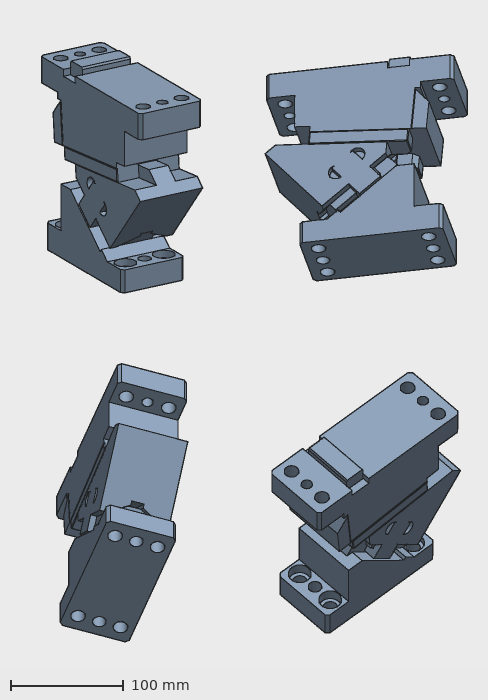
import cadquery as cq
import math


WIDTH = 65.0
HALF_WIDTH = WIDTH / 2
CORNER_CHAMFER = 3.0
EDGE_CHAMFER = 0.85
HOLE_INSET = 15.0
SCREW_SPACING = 40.0
SCREW_DIA = 13.0

TOTAL_HEIGHT = 187.5
PLATE_LENGTH = 170.0
PLATE_THICKNESS = 25.0
PLATE_TOP = 180.5
PLATE_BOTTOM = PLATE_TOP - PLATE_THICKNESS
HOLDER_DOWEL_DIA = 10.0
KEY_START = 40.0
KEY_LENGTH = 20.0
KEY_WIDTH = 50.0
KEY_SLOT_DEPTH = 6.5
KEY_BEVEL_HEIGHT = 2.0
KEY_BEVEL_RUN = 1.1
NECK_START = 30.0
NECK_END = 144.0

TILT = 5.0
TILT_X = 38.6
TILT_Z = 107.6
UNDERSIDE_LENGTH = 92.2
UNDERSIDE_STEP = 5.6
STOP_THICKNESS = 14.0
STOP_HEIGHT = 41.6
STOP_GAP = 0.8

BAR_START = 1.9
BAR_DEPTH = 12.8
BAR_INNER = 10.0
BAR_LEAD_IN = 5.0

SLOPE = 40.0
SLOPE_X = 52.0
SLOPE_Z = 70.1

BASE_START = 10.0
BASE_LENGTH = 130.0
BASE_END = BASE_START + BASE_LENGTH
BASE_LEFT_TOP = 25.7
BASE_RIGHT_TOP = 22.0
BLOCK_START = 35.6
BASE_DOWEL_DIA = 12.0
COUNTERBORE_DIA = 20.0
COUNTERBORE_FLOOR = 14.8

RIDGE_START = -4.9
RIDGE_END = 65.8
RIDGE_NECK = 19.5
RIDGE_HEAD = 26.0
RIDGE_FLAT = 5.8
HEAD_START = 13.5
HEAD_UNDERSIDE = 9.0
ROOF_EAVES = 17.2
ROOF_ANGLE = 30.0
GROOVE_TOP = 32.8
RIDGE_ROOT = -5.6
RIDGE_BEVEL_START = 17.8
RIDGE_BEVEL_ANGLE = 25.0
SLOPE_STEP = 3.4

SLIDE_START = 20.6
SLIDE_END = 73.3
SLIDE_TOP = 97.5
RIB_CLEARANCE = 1.0
RETURN_START = 16.7
RETURN_WIDTH = 25.0
RETURN_END = RETURN_START + RETURN_WIDTH
RETURN_BOTTOM = 2.0
RETURN_TOP = 41.5
RETURN_INNER = 26.6
HOOK_INNER = 20.0
RELIEF_RADIUS = 7.0
RELIEF_LEVEL = 35.0
RELIEF_DEPTH = HALF_WIDTH - RETURN_INNER


def tilted(along, up):
    """XZ point from coordinates in the tilted frame."""
    angle = math.radians(TILT)
    return (TILT_X + along * math.cos(angle) - up * math.sin(angle),
            TILT_Z + along * math.sin(angle) + up * math.cos(angle))


def sloped(down, out):
    """XZ point from distances down the slope and square out of it."""
    angle = math.radians(SLOPE)
    return (SLOPE_X + down * math.cos(angle) + out * math.sin(angle),
            SLOPE_Z - down * math.sin(angle) + out * math.cos(angle))


def line_crossing(a, b, c, d):
    """Point where the line a-b meets the line c-d."""
    ab = (b[0] - a[0], b[1] - a[1])
    cd = (d[0] - c[0], d[1] - c[1])
    share = ((c[0] - a[0]) * cd[1] - (c[1] - a[1]) * cd[0]) / (ab[0] * cd[1] - ab[1] * cd[0])
    return (a[0] + share * ab[0], a[1] + share * ab[1])


def at_height(a, b, z):
    """Point of the line a-b at height Z."""
    return line_crossing(a, b, (0, z), (1, z))


def at_station(a, b, x):
    """Point of the line a-b at position X."""
    return line_crossing(a, b, (x, 0), (x, 1))


def slab(points, y_from, y_to):
    """XZ outline extruded between two Y positions."""
    return cq.Workplane("XZ", origin=(0, y_from, 0)).polyline(points).close().extrude(y_from - y_to)


def symmetric_slab(points, half_width=HALF_WIDTH):
    """XZ outline extruded equally to both sides of the middle plane."""
    return slab(points, -half_width, half_width)


def along_slope(section, start, end):
    """Section of (across, out) points swept down the slope."""
    x, z = sloped(start, 0)
    angle = math.radians(SLOPE)
    plane = cq.Plane(
        origin=(x, 0, z), xDir=(0, 1, 0), normal=(math.cos(angle), 0, -math.sin(angle))
    )
    return cq.Workplane(plane).polyline(section).close().extrude(end - start)


def mirrored_pair(body):
    """Body and its mirror image across the middle plane."""
    return body.union(body.mirror("XZ"))


def hole_circles(x, top, diameter, spacing=0.0):
    """Circles for upright holes, one in the middle or a pair across the width."""
    places = [(x, -spacing / 2), (x, spacing / 2)] if spacing else [(x, 0)]
    return cq.Workplane("XY").workplane(offset=top).pushPoints(places).circle(diameter / 2)


def full_width_box(start, length, bottom, top):
    """Upright box over the full width."""
    box = cq.Workplane("XY").box(length, WIDTH, top - bottom, centered=(False, True, False))
    return box.translate((start, 0, bottom))


def chamfered_plate(start, length, bottom, top):
    """Plate with its four upright corners chamfered."""
    return full_width_box(start, length, bottom, top).edges("|Z").chamfer(CORNER_CHAMFER)


def roof_height(across):
    """Height of the roof flank above the slope at a distance from the middle plane."""
    return ROOF_EAVES + (RIDGE_HEAD - across) * math.tan(math.radians(ROOF_ANGLE))


ROOF_TOP = roof_height(RIDGE_FLAT)


def holder_body():
    """Body that hangs below the plate, with the plate."""
    shoulder = (tilted(0, STOP_HEIGHT + STOP_GAP), tilted(1.9, STOP_HEIGHT + STOP_GAP))
    rear_step = (tilted(0, UNDERSIDE_STEP), tilted(1.9, UNDERSIDE_STEP))
    outline = [
        (NECK_START, PLATE_BOTTOM),
        at_station(*shoulder, NECK_START),
        shoulder[0],
        tilted(0, 0),
        tilted(UNDERSIDE_LENGTH, 0),
        tilted(UNDERSIDE_LENGTH, UNDERSIDE_STEP),
        at_station(*rear_step, NECK_END),
        (NECK_END, PLATE_BOTTOM),
    ]
    return symmetric_slab(outline).union(chamfered_plate(0, PLATE_LENGTH, PLATE_BOTTOM, PLATE_TOP))


def holder_key():
    """Key along the slot, bevelled on its two long top edges."""
    floor = PLATE_TOP - KEY_SLOT_DEPTH
    end = KEY_START + KEY_LENGTH
    outline = [
        (KEY_START, floor),
        (end, floor),
        (end, TOTAL_HEIGHT - KEY_BEVEL_HEIGHT),
        (end - KEY_BEVEL_RUN, TOTAL_HEIGHT),
        (KEY_START + KEY_BEVEL_RUN, TOTAL_HEIGHT),
        (KEY_START, TOTAL_HEIGHT - KEY_BEVEL_HEIGHT),
    ]
    return symmetric_slab(outline, KEY_WIDTH / 2)


def key_slot():
    """Slot across the plate, as wide as the key."""
    return full_width_box(KEY_START, KEY_LENGTH, PLATE_TOP - KEY_SLOT_DEPTH, PLATE_TOP)


def untilted_box(start, end, bottom, top, y_from, y_to):
    """Box at its tilted-frame coordinates, before it is turned into place."""
    box = cq.Workplane("XY").box(end - start, y_to - y_from, top - bottom, centered=False)
    return box.translate((start, y_from, bottom))


def into_tilt(body):
    """Turn a body from tilted-frame coordinates into its place."""
    return body.rotate((0, 0, 0), (0, 1, 0), -TILT).translate((TILT_X, 0, TILT_Z))


def stop_plate():
    """Plate across the left end of the holder, with edges eased where it meets the holder."""
    plate = untilted_box(-STOP_THICKNESS, 0, 0, STOP_HEIGHT, -HALF_WIDTH, HALF_WIDTH)
    plate = plate.edges("|Z and >X").chamfer(EDGE_CHAMFER)
    top_bevel = symmetric_slab([
        (0, STOP_HEIGHT),
        (-STOP_THICKNESS, STOP_HEIGHT),
        (-STOP_THICKNESS, STOP_HEIGHT - STOP_THICKNESS),
    ])
    return into_tilt(plate.cut(top_bevel))


def guide_bars():
    """Two bars under the holder, with a lead-in at their inner left corners."""
    bar = untilted_box(BAR_START, UNDERSIDE_LENGTH, -BAR_DEPTH, 0, -HALF_WIDTH, -BAR_INNER)
    bar = bar.edges("|Z and >Y and <X").chamfer(BAR_LEAD_IN)
    bar = bar.faces("<Y").edges().chamfer(EDGE_CHAMFER)
    bar = bar.faces("<X").edges("<Z").chamfer(EDGE_CHAMFER)
    return mirrored_pair(into_tilt(bar))


def build_holder():
    """Holder with its key, stop plate, guide bars and plate holes."""
    holder = holder_body().cut(key_slot()).union(holder_key())
    for x in (HOLE_INSET, PLATE_LENGTH - HOLE_INSET):
        screw_holes = hole_circles(x, PLATE_TOP, SCREW_DIA, SCREW_SPACING)
        holder = holder.cut(screw_holes.extrude(-PLATE_THICKNESS))
        holder = holder.cut(hole_circles(x, PLATE_TOP, HOLDER_DOWEL_DIA).extrude(-PLATE_THICKNESS))
    return holder.union(stop_plate()).union(guide_bars())


def base_body():
    """Block with the side slopes, and the feet at its two ends."""
    ramp = (sloped(0, SLOPE_STEP), sloped(1.9, SLOPE_STEP))
    ramp_foot = at_height(*ramp, BASE_RIGHT_TOP)
    outline = [
        (BLOCK_START, 0),
        (BLOCK_START, SLOPE_Z),
        sloped(0, 0),
        sloped(RIDGE_END, 0),
        sloped(RIDGE_END, SLOPE_STEP),
        ramp_foot,
        (ramp_foot[0], 0),
    ]
    foot = chamfered_plate(BASE_START, BASE_LENGTH, 0, BASE_RIGHT_TOP)
    left_foot = full_width_box(BASE_START, BLOCK_START - BASE_START, 0, BASE_LEFT_TOP)
    left_foot = left_foot.edges("|Z and <X").chamfer(CORNER_CHAMFER)
    return symmetric_slab(outline).union(foot).union(left_foot)


def guide_ridge():
    """Roof-shaped ridge; its head overhangs the neck on both sides from HEAD_START on."""
    neck = along_slope([
        (-RIDGE_NECK, RIDGE_ROOT),
        (-RIDGE_NECK, roof_height(RIDGE_NECK)),
        (-RIDGE_FLAT, ROOF_TOP),
        (RIDGE_FLAT, ROOF_TOP),
        (RIDGE_NECK, roof_height(RIDGE_NECK)),
        (RIDGE_NECK, RIDGE_ROOT),
    ], RIDGE_START, RIDGE_END)
    head = along_slope([
        (-RIDGE_HEAD, HEAD_UNDERSIDE),
        (-RIDGE_HEAD, ROOF_EAVES),
        (-RIDGE_FLAT, ROOF_TOP),
        (RIDGE_FLAT, ROOF_TOP),
        (RIDGE_HEAD, ROOF_EAVES),
        (RIDGE_HEAD, HEAD_UNDERSIDE),
    ], HEAD_START, RIDGE_END)
    bevel_height = ROOF_TOP - RIDGE_BEVEL_START
    bevel_run = bevel_height * math.tan(math.radians(RIDGE_BEVEL_ANGLE))
    bevel = symmetric_slab([
        sloped(RIDGE_START, RIDGE_BEVEL_START),
        sloped(RIDGE_START, ROOF_TOP),
        sloped(RIDGE_START + bevel_run, ROOF_TOP),
    ])
    return neck.cut(bevel).union(head)


def build_base():
    """Base with its ridge, counterbored screw holes and dowel holes."""
    base = base_body().union(guide_ridge())
    ends = ((BASE_START + HOLE_INSET, BASE_LEFT_TOP), (BASE_END - HOLE_INSET, BASE_RIGHT_TOP))
    for x, top in ends:
        base = base.cut(hole_circles(x, top, SCREW_DIA, SCREW_SPACING).extrude(-top))
        counterbores = hole_circles(x, top, COUNTERBORE_DIA, SCREW_SPACING)
        base = base.cut(counterbores.extrude(COUNTERBORE_FLOOR - top))
        base = base.cut(hole_circles(x, top, BASE_DOWEL_DIA).extrude(-top))
    return base


def slide_outline(top):
    """Slide side outline with its tilted top at the given height in the tilted frame."""
    end_face = (tilted(SLIDE_START, 0), tilted(SLIDE_START, 1.9))
    top_face = (tilted(0, top), tilted(1.9, top))
    back_slope = (sloped(0, SLIDE_TOP), sloped(1.9, SLIDE_TOP))
    bottom = (sloped(0, ROOF_EAVES), sloped(1.9, ROOF_EAVES))
    return [
        line_crossing(*end_face, *bottom),
        tilted(SLIDE_START, top),
        line_crossing(*top_face, *back_slope),
        sloped(SLIDE_END, SLIDE_TOP),
        sloped(SLIDE_END, ROOF_EAVES),
    ]


def roof_channel():
    """Channel that fits the ridge, with a clearance groove along its top."""
    return along_slope([
        (-RIDGE_HEAD, ROOF_EAVES),
        (-RIDGE_FLAT, ROOF_TOP),
        (-RIDGE_FLAT, GROOVE_TOP),
        (RIDGE_FLAT, GROOVE_TOP),
        (RIDGE_FLAT, ROOF_TOP),
        (RIDGE_HEAD, ROOF_EAVES),
    ], -SLIDE_END, 2 * SLIDE_END)


def returns():
    """Side returns that reach down past the ridge head and hook under it."""
    section = [
        (-HALF_WIDTH, RETURN_TOP),
        (-HALF_WIDTH, RETURN_BOTTOM),
        (-HOOK_INNER, RETURN_BOTTOM),
        (-HOOK_INNER, HEAD_UNDERSIDE),
        (-RETURN_INNER, HEAD_UNDERSIDE),
        (-RETURN_INNER, RETURN_TOP),
    ]
    return mirrored_pair(along_slope(section, RETURN_START, RETURN_END))


def relief_pockets():
    """Round pockets in both sides, centred on the edges of the returns."""
    centres = [sloped(edge, RELIEF_LEVEL) for edge in (RETURN_START, RETURN_END)]
    pockets = (
        cq.Workplane("XZ", origin=(0, -HALF_WIDTH, 0))
        .pushPoints(centres)
        .circle(RELIEF_RADIUS)
        .extrude(-RELIEF_DEPTH)
    )
    return mirrored_pair(pockets)


def build_slide():
    """Slide with a middle rib that runs between the guide bars."""
    slide = symmetric_slab(slide_outline(-BAR_DEPTH))
    slide = slide.union(symmetric_slab(slide_outline(-RIB_CLEARANCE), BAR_INNER))
    return slide.cut(roof_channel()).cut(relief_pockets()).union(returns())


holder = build_holder()
base = build_base()
slide = build_slide()

result = cq.Compound.makeCompound([holder.val(), slide.val(), base.val()])